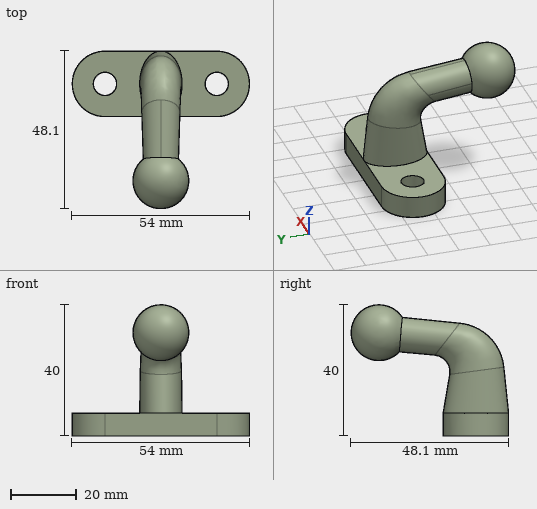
import cadquery as cq
import math

plate_length = 54.0
plate_width = 20.0
plate_thickness = 7.0
hole_diameter = 7.0
hole_spacing = plate_length - plate_width

ball_radius = 8.55
ball_y = -29.5
ball_z = 31.5

outer_base = (plate_width / 2, plate_thickness)
outer_corner = (7.3, 33.15)
outer_tip = (-22.45, 36.2)
outer_bend_radius = 15.0
inner_base = (-plate_width / 2, plate_thickness)
inner_corner = (-7.1, 24.15)
inner_tip = (-23.3, 25.6)
inner_bend_radius = 5.0

base_half_width = 6.5
tip_half_width = 5.4
bend_start_half_width = 6.3
bend_end_half_width = 5.85
bend_steps = 6


def unit_vector(start, end):
    length = math.dist(start, end)
    return ((end[0] - start[0]) / length, (end[1] - start[1]) / length)


def bend_points(base, corner, tip, radius):
    """Evenly spaced points on the arc that rounds a corner of the silhouette."""
    to_base = unit_vector(corner, base)
    to_tip = unit_vector(corner, tip)
    half_angle = math.acos(to_base[0] * to_tip[0] + to_base[1] * to_tip[1]) / 2
    bisector = unit_vector((0, 0), (to_base[0] + to_tip[0], to_base[1] + to_tip[1]))
    reach = radius / math.sin(half_angle)
    center = (corner[0] + reach * bisector[0], corner[1] + reach * bisector[1])
    middle_angle = math.atan2(-bisector[1], -bisector[0])
    sweep = math.pi - 2 * half_angle
    points = []
    for step in range(bend_steps + 1):
        angle = middle_angle + sweep * (step / bend_steps - 0.5)
        points.append((center[0] + radius * math.cos(angle), center[1] + radius * math.sin(angle)))
    return points


def section(outer, inner, half_width):
    """Elliptical arm section spanning the outer and inner silhouette points."""
    center = cq.Vector(0, (outer[0] + inner[0]) / 2, (outer[1] + inner[1]) / 2)
    across = cq.Vector(0, outer[0] - inner[0], outer[1] - inner[1])
    normal = cq.Vector(1, 0, 0).cross(across)
    ellipse = cq.Edge.makeEllipse(across.Length / 2, half_width, center, normal, across)
    return cq.Wire.assembleEdges([ellipse])


def make_arm():
    outer_bend = bend_points(outer_base, outer_corner, outer_tip, outer_bend_radius)
    inner_bend = bend_points(inner_base, inner_corner, inner_tip, inner_bend_radius)
    bend = []
    for step in range(bend_steps + 1):
        blend = step / bend_steps
        half_width = bend_start_half_width + blend * (bend_end_half_width - bend_start_half_width)
        bend.append(section(outer_bend[step], inner_bend[step], half_width))
    foot = section(outer_base, inner_base, base_half_width)
    tip = section(outer_tip, inner_tip, tip_half_width)
    lower = cq.Solid.makeLoft([foot, bend[0]], True)
    elbow = cq.Solid.makeLoft(bend)
    upper = cq.Solid.makeLoft([bend[-1], tip], True)
    return cq.Workplane(lower).union(cq.Workplane(elbow)).union(cq.Workplane(upper))


plate = (
    cq.Workplane("XY")
    .slot2D(plate_length, plate_width)
    .extrude(plate_thickness)
    .faces(">Z")
    .workplane()
    .rarray(hole_spacing, 0.55, 2, 1)
    .hole(hole_diameter)
)

ball = cq.Workplane("XY").sphere(ball_radius).translate((0, ball_y, ball_z))

result = plate.union(make_arm()).union(ball)